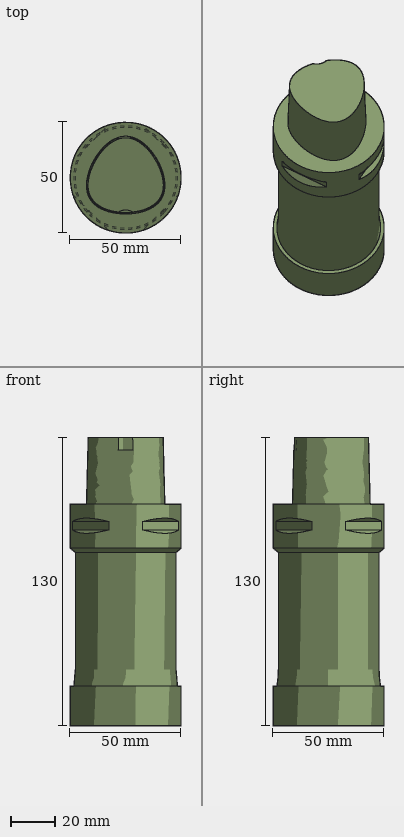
import cadquery as cq
import math

total_height = 130.0
base_height = 18.0
flare_top = 25.4
flange_bevel_bottom = 78.1
flange_bottom = 80.1
flange_top = 100.0

outer_radius = 50.0 / 2
barrel_radius = 45.5 / 2
flare_radius = 23.4

shank_radius = 17.5
lobe_offset = 1.2
shank_taper = 1 / 40
outline_points = 36

notch_radius = 6.0
notch_depth = 5.6
notch_inner_y = -14.5

groove_count = 4
groove_first_angle = 45.0
groove_center_z = 90.2
groove_floor_height = 3.6
groove_floor_distance = 22.2
groove_flank_angle = 30.0
groove_clearance = 1.3


def lobed_wire(z):
    """Closed three-lobed outline at height z, with one lobe toward +Y."""
    mean_radius = shank_radius - shank_taper * (z - flange_top)

    points = []
    for index in range(outline_points):
        angle = 2 * math.pi * index / outline_points
        x = -mean_radius * math.sin(angle) + lobe_offset * math.sin(2 * angle)
        y = mean_radius * math.cos(angle) + lobe_offset * math.cos(2 * angle)
        points.append(cq.Vector(x, y, z))
    return cq.Wire.assembleEdges([cq.Edge.makeSpline(points, periodic=True)])


def make_shank():
    """Tapered shank with the round-walled key notch on its -Y side."""
    shank = cq.Workplane(cq.Solid.makeLoft([lobed_wire(flange_top), lobed_wire(total_height)]))
    notch = (
        cq.Workplane("XY", origin=(0, notch_inner_y - notch_radius, total_height - notch_depth))
        .circle(notch_radius)
        .extrude(notch_depth)
    )
    return shank.cut(notch)


def make_groove_cutter():
    """Straight bar with a flat floor and flared flanks, on the +X side."""
    floor_half = groove_floor_height / 2
    mouth_distance = outer_radius + groove_clearance
    flare = (mouth_distance - groove_floor_distance) * math.tan(math.radians(groove_flank_angle))
    mouth_half = floor_half + flare
    return (
        cq.Workplane("XZ")
        .moveTo(groove_floor_distance, groove_center_z - floor_half)
        .lineTo(mouth_distance, groove_center_z - mouth_half)
        .lineTo(mouth_distance, groove_center_z + mouth_half)
        .lineTo(groove_floor_distance, groove_center_z + floor_half)
        .close()
        .extrude(outer_radius, both=True)
    )


def make_holder():
    """Barrel, flange and lobed shank in one piece."""
    holder = (
        cq.Workplane("XZ")
        .moveTo(0, base_height)
        .lineTo(flare_radius, base_height)
        .lineTo(barrel_radius, flare_top)
        .lineTo(barrel_radius, flange_bevel_bottom)
        .lineTo(outer_radius, flange_bottom)
        .lineTo(outer_radius, flange_top)
        .lineTo(0, flange_top)
        .close()
        .revolve(360, (0, 0, 0), (0, 1, 0))
        .union(make_shank())
    )
    cutter = make_groove_cutter()
    for index in range(groove_count):
        angle = groove_first_angle + index * 360 / groove_count
        holder = holder.cut(cutter.rotate((0, 0, 0), (0, 0, 1), angle))
    return holder


def make_base():
    """Plain round base under the holder."""
    return cq.Workplane("XY").circle(outer_radius).extrude(base_height)


holder = make_holder()
base = make_base()

result = cq.Compound.makeCompound([holder.val(), base.val()])